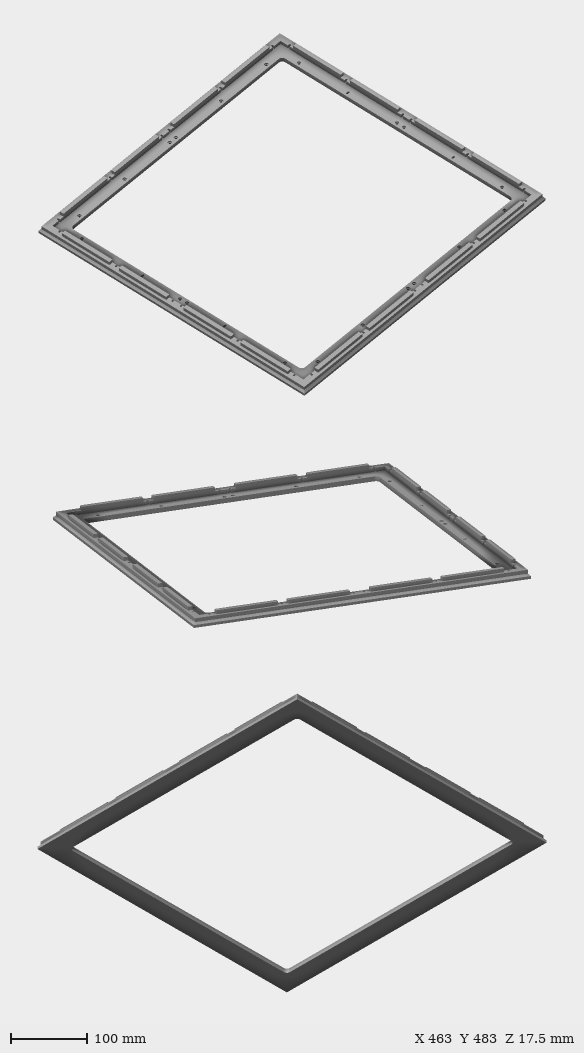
import cadquery as cq
LENGTH_X = 463.0
LENGTH_Y = 483.0
HEIGHT = 17.5
HALF_X = LENGTH_X / 2
HALF_Y = LENGTH_Y / 2

BASE_TOP = 2.0
CHAMFER_BOTTOM = 4.0
CHAMFER = 3.0
CHAMFER_TOP = CHAMFER_BOTTOM + CHAMFER
PLATE_TOP = 7.0
RIM_TOP = 12.0

CLIP_INSET = 7.0
RIM_INNER_INSET = 13.0
HOLE_INSET = 24.0
WINDOW_INSET = 30.0
WINDOW_CORNER_RADIUS = 6.0

CLIP_WIDTH = RIM_INNER_INSET - CLIP_INSET
CLIP_MID_INSET = (RIM_INNER_INSET + CLIP_INSET) / 2
CLIP_LENGTH_X = 82.5
CLIP_LENGTH_Y = 88.5
CLIP_CENTRES_X = (56.25, 155.3)
CLIP_CENTRES_Y = (59.15, 162.05)

NOTCH_WIDTH = 3.0
NOTCH_DEPTH = 4.0
NOTCH_CENTRES_X = (7.2, 106.0, 204.5)
NOTCH_CENTRES_Y = (7.2, 110.5, 214.5)

HOLE_DIAMETER = 3.0
COUNTERBORE_DIAMETER = 6.0
COUNTERBORE_DEPTH = 2.0
HOLE_CENTRES_X = (6.05, 177.0)
HOLE_CENTRES_Y = (6.05, 96.5, 187.15)
SLOT_LENGTH = 6.0
SLOT_WIDTH = 3.0
BACK_SLOT_X = 92.0
FRONT_SLOT_X = 71.5

SIDES = (-1, 1)
QUADRANTS = [(sx, sy) for sx in SIDES for sy in SIDES]


def slab(inset, z_low, z_high):
    """Rectangular slab whose sides lie the given inset inside the frame's outline."""
    return (
        cq.Workplane("XY", origin=(0, 0, z_low))
        .rect(LENGTH_X - 2 * inset, LENGTH_Y - 2 * inset)
        .extrude(z_high - z_low)
    )


def window():
    """Cutter for the large opening with rounded corners."""
    return slab(WINDOW_INSET, 0, HEIGHT).edges("|Z").fillet(WINDOW_CORNER_RADIUS)


def clips():
    """Cutter-free blocks for all clips, from the plate level to the full height."""
    height = HEIGHT - BASE_TOP
    along_x = [(sx * c, sy * (HALF_Y - CLIP_MID_INSET)) for sx, sy in QUADRANTS for c in CLIP_CENTRES_X]
    along_y = [(sx * (HALF_X - CLIP_MID_INSET), sy * c) for sx, sy in QUADRANTS for c in CLIP_CENTRES_Y]
    plane = cq.Workplane("XY", origin=(0, 0, BASE_TOP))
    x_clips = plane.pushPoints(along_x).rect(CLIP_LENGTH_X, CLIP_WIDTH).extrude(height)
    y_clips = plane.pushPoints(along_y).rect(CLIP_WIDTH, CLIP_LENGTH_Y).extrude(height)
    return x_clips.union(y_clips)


def notches():
    """Round-ended cutters that open into the inner wall of the rim, down to the plate."""
    height = RIM_TOP - PLATE_TOP
    length = 2 * NOTCH_DEPTH
    on_x_sides = [(sx * c, sy * (HALF_Y - RIM_INNER_INSET)) for sx, sy in QUADRANTS for c in NOTCH_CENTRES_X]
    on_y_sides = [(sx * (HALF_X - RIM_INNER_INSET), sy * c) for sx, sy in QUADRANTS for c in NOTCH_CENTRES_Y]
    plane = cq.Workplane("XY", origin=(0, 0, PLATE_TOP))
    x_notches = plane.pushPoints(on_x_sides).slot2D(length, NOTCH_WIDTH, 90).extrude(height)
    y_notches = plane.pushPoints(on_y_sides).slot2D(length, NOTCH_WIDTH, 0).extrude(height)
    return x_notches.union(y_notches)


def plate_holes():
    """Counterbored hole cutters along all four sides of the plate."""
    points = [(sx * x, sy * (HALF_Y - HOLE_INSET)) for sx, sy in QUADRANTS for x in HOLE_CENTRES_X]
    points += [(sx * (HALF_X - HOLE_INSET), sy * y) for sx, sy in QUADRANTS for y in HOLE_CENTRES_Y]
    holes = (
        cq.Workplane("XY", origin=(0, 0, BASE_TOP))
        .pushPoints(points)
        .circle(HOLE_DIAMETER / 2)
        .extrude(PLATE_TOP - BASE_TOP)
    )
    counterbores = (
        cq.Workplane("XY", origin=(0, 0, PLATE_TOP - COUNTERBORE_DEPTH))
        .pushPoints(points)
        .circle(COUNTERBORE_DIAMETER / 2)
        .extrude(COUNTERBORE_DEPTH)
    )
    return holes.union(counterbores)


def plate_slots():
    """Slot cutters, two at the back and two at the front of the plate."""
    slot_y = HALF_Y - HOLE_INSET
    points = [(s * BACK_SLOT_X, slot_y) for s in SIDES]
    points += [(s * FRONT_SLOT_X, -slot_y) for s in SIDES]
    return (
        cq.Workplane("XY", origin=(0, 0, BASE_TOP))
        .pushPoints(points)
        .slot2D(SLOT_LENGTH, SLOT_WIDTH, 90)
        .extrude(PLATE_TOP - BASE_TOP)
    )


def base_ring():
    """Flat lower layer of the frame."""
    return slab(0, 0, BASE_TOP).cut(window())


def top_ring():
    """Upper layer: chamfered flange, raised rim with clips, and recessed plate."""
    flange = slab(0, BASE_TOP, CHAMFER_TOP).faces(">Z").chamfer(CHAMFER)
    rim = slab(CHAMFER, CHAMFER_TOP, RIM_TOP)
    ring = flange.union(rim).union(clips())
    ring = ring.cut(slab(RIM_INNER_INSET, PLATE_TOP, HEIGHT)).cut(window())
    return ring.cut(notches()).cut(plate_holes()).cut(plate_slots())


def quarter(ring, sx, sy):
    """The corner piece of a ring that lies in one quadrant."""
    region = (
        cq.Workplane("XY")
        .center(sx * HALF_X / 2, sy * HALF_Y / 2)
        .rect(HALF_X, HALF_Y)
        .extrude(HEIGHT)
    )
    return ring.intersect(region)


base = base_ring()
top = top_ring()
base_corners = [quarter(base, sx, sy) for sx, sy in QUADRANTS]
top_corners = [quarter(top, sx, sy) for sx, sy in QUADRANTS]

result = cq.Compound.makeCompound(
    [solid for corner in base_corners + top_corners for solid in corner.solids().vals()]
)